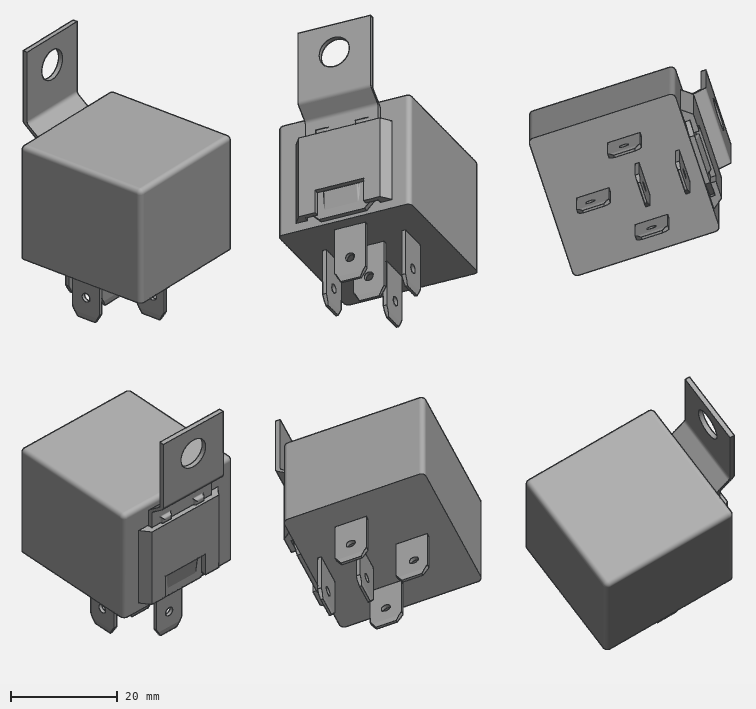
import cadquery as cq

housing_length = 28.9
housing_width = 27.75
housing_height = 24.1
housing_round = 1.0

sheet = 1.0
bracket_width = 15.2
bracket_bottom = 0.8
bracket_top = 40.25
bracket_offset = 3.2
joggle_start = 22.45
joggle_end = 24.95
bend_radius = 1.0
lead_in = 2.85
mount_hole_diameter = 6.25
mount_hole_height = 34.25

holder_depth = 2.0
holder_bottom = 1.8
holder_top = 18.9
holder_base_width = 20.1
holder_face_width = 17.0
window_width = 10.15
window_top = 6.7

stop_spacing = 8.3
stop_width = 2.3
stop_height = 1.25
stop_depth = 0.65
stop_rim_round = 0.4
stop_foot_round = 0.25

latch_width = 7.35
latch_bottom = 2.5
latch_top = 6.45
latch_depth = 0.6
latch_rim_round = 0.3
latch_foot_round = 0.15
latch_root = 0.2

blade_width = 6.4
blade_thickness = 0.8
blade_length = 11.5
blade_hole_diameter = 1.8
blade_hole_drop = 6.8
tip_width = 4.15
tip_thickness = 0.45
tip_taper = 1.95
tip_bevel = 1.1

terminals = [
    (2.9, 0, 90, 0),
    (10.8, 0, 90, 0),
    (11.65, -8.3, 0, 0),
    (11.65, 8.3, 0, 0),
    (20.5, 0, 0, 0.45),
]


def make_tapered_bar(plane, width, end_width, taper, half_depth):
    """Bar hanging from Z = 0 whose lower end narrows over the taper length."""
    shoulder = taper - blade_length
    return (
        cq.Workplane(plane)
        .moveTo(-width / 2, 0)
        .lineTo(width / 2, 0)
        .lineTo(width / 2, shoulder)
        .lineTo(end_width / 2, -blade_length)
        .lineTo(-end_width / 2, -blade_length)
        .lineTo(-width / 2, shoulder)
        .close()
        .extrude(half_depth, both=True)
    )


def make_terminal(hole_shift):
    """Blade hanging below Z = 0 with its width along X and a hole near its end."""
    face = make_tapered_bar("XZ", blade_width, tip_width, tip_taper, blade_thickness / 2)
    side = make_tapered_bar("YZ", blade_thickness, tip_thickness, tip_bevel, blade_width / 2)
    hole = (
        cq.Workplane("XZ")
        .center(hole_shift, -blade_hole_drop)
        .circle(blade_hole_diameter / 2)
        .extrude(blade_thickness, both=True)
    )
    return face.intersect(side).cut(hole)


def make_holder():
    """Raised trapezoid with a through slot for the bracket and a window for its latch."""
    height = holder_top - holder_bottom
    block = (
        cq.Workplane("XY", origin=(0, 0, holder_bottom))
        .moveTo(0, -holder_base_width / 2)
        .lineTo(-holder_depth, -holder_face_width / 2)
        .lineTo(-holder_depth, holder_face_width / 2)
        .lineTo(0, holder_base_width / 2)
        .close()
        .extrude(height)
    )
    slot = (
        cq.Workplane("XY", origin=(-sheet / 2, 0, holder_bottom))
        .rect(sheet, bracket_width)
        .extrude(height)
    )
    window = (
        cq.Workplane("XY", origin=(-holder_depth / 2, 0, holder_bottom))
        .rect(holder_depth, window_width)
        .extrude(window_top - holder_bottom)
    )
    return block.cut(slot).cut(window)


def make_housing():
    """Rounded box with the holder on one side and the terminals below."""
    housing = (
        cq.Workplane("XY", origin=(housing_length / 2, 0, 0))
        .rect(housing_length, housing_width)
        .extrude(housing_height)
        .edges("|Z or >Z")
        .fillet(housing_round)
        .union(make_holder())
    )
    for x, y, turn, hole_shift in terminals:
        blade = make_terminal(hole_shift).rotate((0, 0, 0), (0, 0, 1), turn)
        housing = housing.union(blade.translate((x, y, 0)))
    return housing


def make_stop(y):
    """Rounded block on the bracket, blended into the sheet at its top and sides."""
    core = (
        cq.Workplane("XY", origin=(-sheet - stop_depth / 2, y, holder_top))
        .rect(stop_depth, stop_width)
        .extrude(stop_height)
        .faces("<X")
        .edges()
        .fillet(stop_rim_round)
    )
    half_foot = stop_width / 2 + stop_foot_round
    foot_height = stop_height + stop_foot_round
    foot = (
        cq.Workplane("XY", origin=(-sheet - stop_foot_round / 2, y, holder_top))
        .rect(stop_foot_round, 2 * half_foot)
        .extrude(foot_height)
    )
    groove_x = -sheet - stop_foot_round
    for side in (-1, 1):
        side_groove = (
            cq.Workplane("XY", origin=(groove_x, y + side * half_foot, holder_top))
            .circle(stop_foot_round)
            .extrude(foot_height)
        )
        foot = foot.cut(side_groove)
    top_groove = (
        cq.Workplane("XZ", origin=(0, y, 0))
        .center(groove_x, holder_top + foot_height)
        .circle(stop_foot_round)
        .extrude(half_foot, both=True)
    )
    return core.union(foot.cut(top_groove))


def make_latch():
    """Ramp that rises from the sheet towards its upper end, with a rounded rim."""
    run = latch_top - latch_bottom
    root_run = latch_root * run / latch_depth
    return (
        cq.Workplane("XZ")
        .moveTo(latch_root - sheet, latch_bottom - root_run)
        .lineTo(-sheet - latch_depth, latch_top)
        .lineTo(latch_root - sheet, latch_top)
        .close()
        .extrude(latch_width / 2, both=True)
        .faces("not(|Y or |Z or |X)")
        .edges("not(<Z)")
        .fillet(latch_rim_round)
    )


def make_bracket():
    """Joggled plate with a mounting hole, two stops and a latch."""
    half_width = bracket_width / 2
    upper_x = -bracket_offset
    plate = (
        cq.Workplane("XZ")
        .moveTo(0, bracket_bottom)
        .lineTo(0, joggle_start)
        .lineTo(upper_x, joggle_end)
        .lineTo(upper_x, bracket_top)
        .lineTo(upper_x - sheet, bracket_top)
        .lineTo(upper_x - sheet, joggle_end)
        .lineTo(-sheet, joggle_start)
        .lineTo(-sheet, bracket_bottom)
        .close()
        .extrude(half_width, both=True)
    )
    middle = (joggle_start + joggle_end) / 2
    reach = joggle_end - joggle_start
    bend_zone = cq.selectors.BoxSelector(
        (-2 * bracket_offset, -half_width, middle - reach),
        (bracket_offset, half_width, middle + reach),
    )
    plate = plate.edges(bend_zone).edges("|Y").fillet(bend_radius)
    plate = plate.faces("<Z").edges("|X").chamfer(lead_in)
    mount_hole = (
        cq.Workplane("YZ", origin=(upper_x, 0, mount_hole_height))
        .circle(mount_hole_diameter / 2)
        .extrude(-sheet)
    )
    bracket = plate.cut(mount_hole).union(make_latch())
    foot_zone = cq.selectors.BoxSelector(
        (-sheet - latch_foot_round, -latch_width, latch_bottom + latch_rim_round),
        (-sheet + latch_foot_round, latch_width, latch_top + latch_rim_round),
    )
    bracket = bracket.edges(foot_zone).fillet(latch_foot_round)
    for side in (-1, 1):
        bracket = bracket.union(make_stop(side * stop_spacing / 2))
    return bracket


housing = make_housing()
bracket = make_bracket()
result = cq.Compound.makeCompound([housing.val(), bracket.val()])